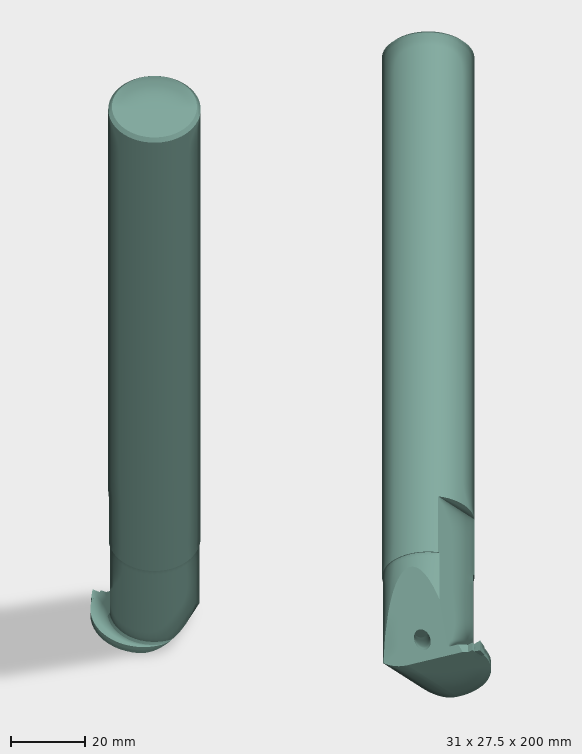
import cadquery as cq
import math

total_height = 200.0
total_width = 31.0
total_depth = 27.5
shank_diameter = 25.0
neck_radius = 12.2
neck_top_z = 31.5
shank_chamfer = 1.0
flat_x = -10.0
flat_top_z = 49.5

foot_z = 0.5
blade_top_z = 3.0
blade_radius = 14.5
blade_bottom_y = shank_diameter / 2 - total_depth
blade_center_x = -3.0
blade_center_y = blade_bottom_y + blade_radius
flare = 0.5
flare_angle = 45.0

heel_radius = 10.5
relief_heading = 107.0
relief_tilt = 13.5
relief_distance = 5.5

coolant_diameter = 4.5
coolant_exit = (-3.8, 6.8, 6.0)
coolant_direction = (0.5, -0.5, 1.0)
coolant_depth = 8.0

tip_x = shank_diameter / 2 - total_width
insert_width = 3.0
insert_end_x = flat_x - flare
head_end_x = -16.5
head_top_z = 3.2
end_clearance = 1.0
lip_width = 0.8
gullet_start_x = -14.8

margin = 40.0


def flatted_disc(radius, flat, z):
    """Circle with its -X side cut off along x = flat."""
    half = math.sqrt(radius**2 - flat**2)
    return (
        cq.Workplane("XY", origin=(0, 0, z))
        .moveTo(flat, -half)
        .threePointArc((radius, 0), (flat, half))
        .close()
    )


def make_shank():
    shank = (
        cq.Workplane("XY", origin=(0, 0, neck_top_z))
        .circle(shank_diameter / 2)
        .extrude(total_height - neck_top_z)
        .faces(">Z")
        .chamfer(shank_chamfer)
    )
    flat_cut = cq.Workplane("XY").box(margin, margin, flat_top_z, centered=(True, True, False))
    return shank.cut(flat_cut.translate((flat_x - margin / 2, 0, 0)))


def blade_column(height):
    return (
        cq.Workplane("XY", origin=(blade_center_x, blade_center_y, foot_z))
        .circle(blade_radius)
        .extrude(height)
    )


def make_blade():
    """Round foot with the chip gullet and the insert slot cut away."""
    gullet = (
        cq.Workplane("XY")
        .moveTo(head_end_x, 0)
        .lineTo(head_end_x, lip_width)
        .lineTo(gullet_start_x, lip_width)
        .lineTo(gullet_start_x + margin, lip_width + margin)
        .lineTo(-margin, lip_width + margin)
        .lineTo(-margin, 0)
        .close()
        .extrude(margin)
    )
    slot = (
        cq.Workplane("XY")
        .moveTo(-margin, -insert_width)
        .lineTo(insert_end_x, -insert_width)
        .lineTo(insert_end_x, 0)
        .lineTo(-margin, 0)
        .close()
        .extrude(margin)
    )
    return blade_column(blade_top_z - foot_z).cut(gullet).cut(slot)


def make_collar():
    collar = flatted_disc(neck_radius + flare, flat_x - flare, blade_top_z).extrude(flare, taper=flare_angle)
    return collar.intersect(blade_column(margin))


def heel_cut():
    """Everything outside the quarter-round heel on the +X side."""
    heel_x = neck_radius - heel_radius
    heel_z = foot_z + heel_radius
    diagonal = heel_radius * math.sqrt(0.5)
    return (
        cq.Workplane("XZ")
        .moveTo(heel_x, foot_z)
        .threePointArc((heel_x + diagonal, heel_z - diagonal), (neck_radius, heel_z))
        .lineTo(neck_radius + margin, heel_z)
        .lineTo(neck_radius + margin, foot_z)
        .close()
        .extrude(margin, both=True)
    )


def relief_cut():
    """Half space on the outer side of the tilted relief face."""
    heading = math.radians(relief_heading)
    tilt = math.radians(relief_tilt)
    facing = (math.cos(heading), math.sin(heading), -math.tan(tilt))
    along = (-math.sin(heading), math.cos(heading), 0)
    origin = (relief_distance * facing[0], relief_distance * facing[1], 0)
    plane = cq.Plane(origin=origin, xDir=along, normal=facing)
    return cq.Workplane(plane).rect(2 * margin, 2 * margin).extrude(margin)


def coolant_hole():
    axis = cq.Vector(*coolant_direction).normalized()
    start = cq.Vector(*coolant_exit) - axis * coolant_depth
    hole = cq.Solid.makeCylinder(coolant_diameter / 2, 2 * coolant_depth, start, axis)
    return cq.Workplane(hole)


def make_bar():
    neck = flatted_disc(neck_radius, flat_x, foot_z).extrude(neck_top_z - foot_z)
    foot = neck.union(make_blade()).union(make_collar())
    foot = foot.cut(heel_cut()).cut(relief_cut())
    return make_shank().union(foot).cut(coolant_hole())


def make_insert():
    """Bar with a pointed head: the lowest point is the outer corner of the rake face."""
    outline = (
        cq.Workplane("XY")
        .moveTo(tip_x, 0)
        .lineTo(insert_end_x, 0)
        .lineTo(insert_end_x, -insert_width)
        .lineTo(tip_x + end_clearance, -insert_width)
        .close()
        .extrude(head_top_z)
    )
    side_profile = (
        cq.Workplane("XZ")
        .moveTo(tip_x, 0)
        .lineTo(head_end_x, foot_z)
        .lineTo(insert_end_x, foot_z)
        .lineTo(insert_end_x, blade_top_z)
        .lineTo(head_end_x, blade_top_z)
        .lineTo(tip_x, head_top_z)
        .close()
        .extrude(insert_width)
    )
    back_clearance = (
        cq.Workplane("YZ", origin=(tip_x, 0, 0))
        .moveTo(0, 0)
        .lineTo(-insert_width, foot_z)
        .lineTo(-insert_width, 0)
        .close()
        .extrude(insert_end_x - tip_x)
    )
    return outline.intersect(side_profile).cut(back_clearance)


bar = make_bar()
insert = make_insert()

result = cq.Compound.makeCompound([bar.val(), insert.val()])